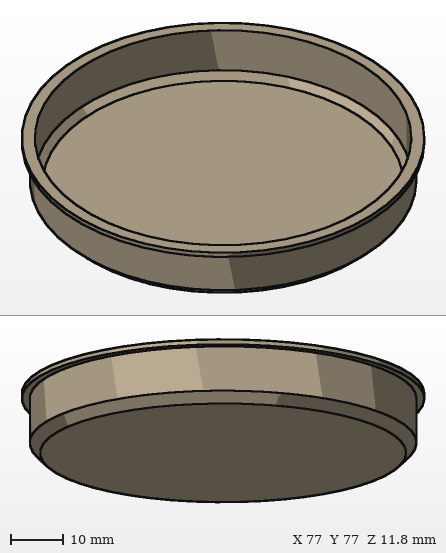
import cadquery as cq

rim_diameter = 77.0
body_diameter = 74.0
height = 11.8
wall = 1.0
outer_chamfer = 2.0
inner_chamfer = 1.5

cavity_diameter = body_diameter - 2 * wall


def bevelled_disc(diameter, bottom, top, chamfer):
    """Upright disc between two heights with its bottom edge bevelled."""
    disc = cq.Workplane("XY").workplane(offset=bottom).circle(diameter / 2).extrude(top - bottom)
    return disc.faces("<Z").edges().chamfer(chamfer)


body = bevelled_disc(body_diameter, 0, height, outer_chamfer)

rim = cq.Workplane("XY").workplane(offset=height - wall).circle(rim_diameter / 2).extrude(wall)

cavity = bevelled_disc(cavity_diameter, wall, height, inner_chamfer)

result = body.union(rim).cut(cavity)